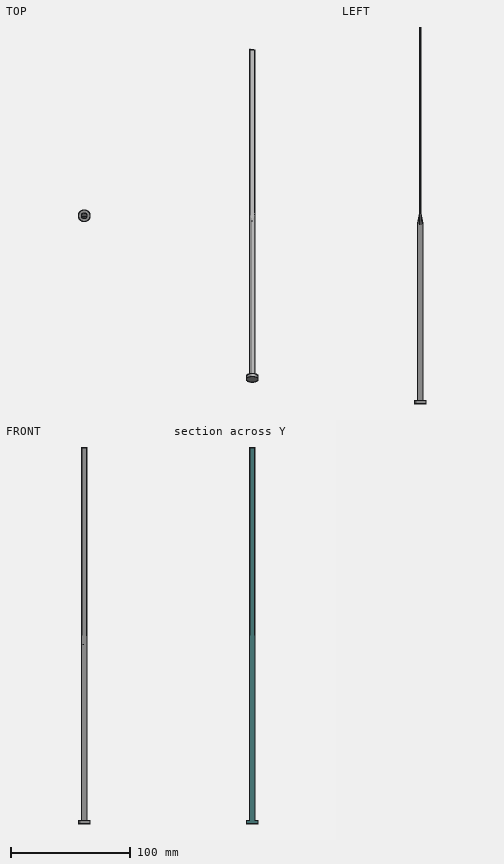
import cadquery as cq
import math

total_length = 315.0
head_diameter = 10.0
head_height = 3.0
shank_diameter = 5.0
shank_top = 150.0
transition_length = 10.0
blade_width = 4.5
blade_thickness = 1.0

shank_radius = shank_diameter / 2
blade_bottom = shank_top + transition_length


def make_head():
    return cq.Workplane("XY").circle(head_diameter / 2).extrude(head_height)


def make_shank():
    return (
        cq.Workplane("XY", origin=(0, 0, head_height))
        .circle(shank_radius)
        .extrude(shank_top - head_height)
    )


def make_transition():
    """Loft from the shank circle to the blade rectangle.

    The circle is split into four arcs in the directions of the rectangle's
    corners, so each arc blends into one straight side without twisting.
    """
    corner_angle = math.atan2(blade_thickness, blade_width)
    split_x = shank_radius * math.cos(corner_angle)
    split_y = shank_radius * math.sin(corner_angle)
    return (
        cq.Workplane("XY", origin=(0, 0, shank_top))
        .moveTo(-split_x, -split_y)
        .threePointArc((0, -shank_radius), (split_x, -split_y))
        .threePointArc((shank_radius, 0), (split_x, split_y))
        .threePointArc((0, shank_radius), (-split_x, split_y))
        .threePointArc((-shank_radius, 0), (-split_x, -split_y))
        .close()
        .workplane(offset=transition_length, origin=(0, 0, shank_top))
        .rect(blade_width, blade_thickness)
        .loft()
    )


def make_blade():
    return (
        cq.Workplane("XY", origin=(0, 0, blade_bottom))
        .rect(blade_width, blade_thickness)
        .extrude(total_length - blade_bottom)
    )


result = make_head().union(make_shank()).union(make_transition()).union(make_blade())